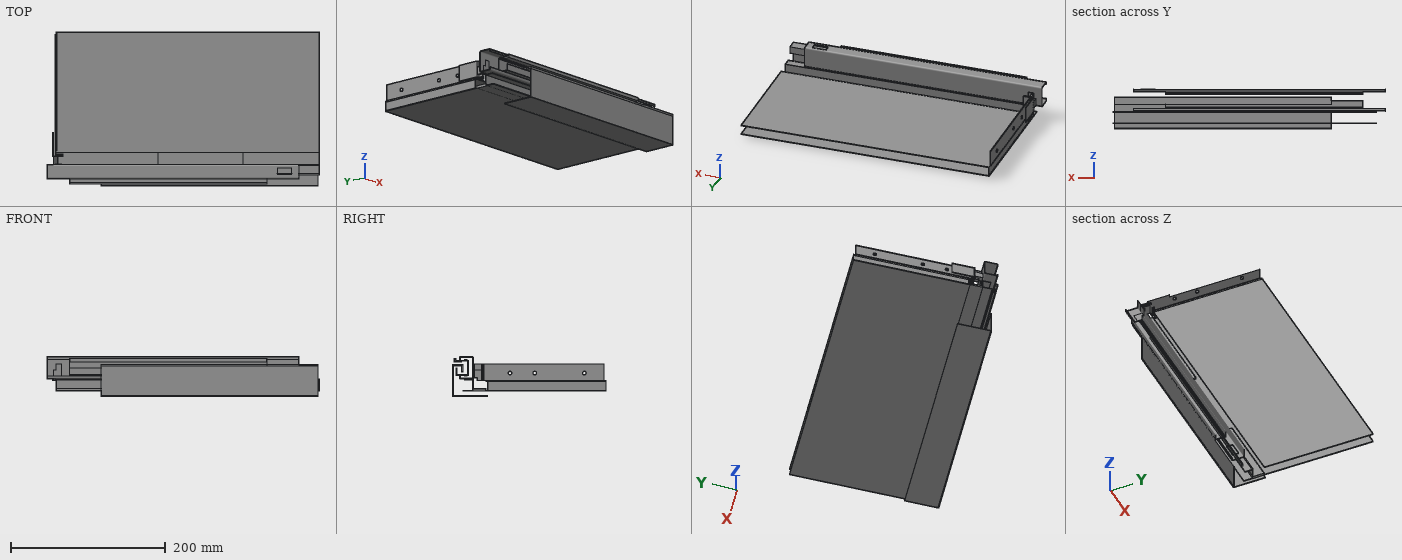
import cadquery as cq


SHEET = 1.15
HEAVY = 2.2

TOTAL_LENGTH = 351.5
TOTAL_DEPTH = 198.5
TOTAL_HEIGHT = 51.7

FASCIA_START = 69.7
FASCIA_END = 350.1
FASCIA_HEIGHT = 41.4
FASCIA_FOOT = 45.5
HOOK_REACH = 13.8
HOOK_TIP_Z = 32.0

OUTER_LENGTH = 325.2
OUTER_BACK = 27.4
OUTER_FRONT = 9.1
OUTER_BOTTOM = 22.8
BACK_BEND = 2.3
FRONT_BEND = 1.85
UPPER_LIP_Z = 48.0
LOWER_LIP_Z = 26.8
WINDOW_START = 297.2
WINDOW_LENGTH = 18.6
WINDOW_FRONT = 15.0
WINDOW_WIDTH = 8.4

MIDDLE_START = 28.9
MIDDLE_END = 283.6
MIDDLE_BACK = 20.6
MIDDLE_BOTTOM = 27.5
MIDDLE_TOP = 46.9
MIDDLE_TOP_FRONT = 2.2
MIDDLE_TOP_LIP_Z = 49.3
MIDDLE_LOW_FRONT = 4.6
MIDDLE_LOW_LIP_Z = 36.7
HEAVY_START = 11.9
RIDGE_BACK = 18.6
RIDGE_FRONT = 15.4

CHASSIS_START = 11.5
FLOOR_Z = 6.9
FLOOR_TOP = FLOOR_Z + SHEET
FLOOR_FRONT = 14.0
LEDGE_FRONT = 15.8
PAD_BACK = 43.3
PAD_TOP = 10.2
PAD_GAP_START = 143.2
PAD_GAP_END = 252.9

COVER_TOP = 20.7
COVER_FRONT = PAD_BACK
COVER_WALL_FRONT = 45.5

PANEL_X = CHASSIS_START - SHEET
PANEL_FRONT = 39.9
PANEL_BACK = 195.8
PANEL_TOP = 42.1
RETURN_END = 20.6
HOLE_DIAMETER = 4.4
HOLE_Z = 30.4
HOLE_YS = (74.4, 106.4, 170.4)

PLATE_X = 6.8
PLATE_FRONT = 37.8
PLATE_BACK = 68.7

CLIP_BLOCK_END = 13.8
CLIP_FOOT_END = 18.3
CLIP_BLOCK_X = 8.0
CLIP_BLOCK_BOTTOM = 24.1
CLIP_BLOCK_TOP = 34.3
CLIP_TOE_FRONT = 31.8


def box(x, y, z):
    """Box from three (low, high) ranges."""
    size = (x[1] - x[0], y[1] - y[0], z[1] - z[0])
    return cq.Workplane("XY").box(*size, centered=False).translate((x[0], y[0], z[0]))


def extrude_profile(points, start, end):
    """Extrude a closed (y, z) outline along X."""
    return cq.Workplane("YZ").workplane(offset=start).polyline(points).close().extrude(end - start)


def make_fascia():
    hook_inner_z = FASCIA_HEIGHT - HEAVY
    profile = [
        (0, 0),
        (FASCIA_FOOT, 0),
        (FASCIA_FOOT, SHEET),
        (SHEET, SHEET),
        (SHEET, hook_inner_z),
        (HOOK_REACH - HEAVY, hook_inner_z),
        (HOOK_REACH - HEAVY, HOOK_TIP_Z),
        (HOOK_REACH, HOOK_TIP_Z),
        (HOOK_REACH, FASCIA_HEIGHT),
        (0, FASCIA_HEIGHT),
    ]
    return extrude_profile(profile, FASCIA_START, FASCIA_END)


def make_outer_rail():
    length = (0, OUTER_LENGTH)
    outside = box(length, (OUTER_FRONT, OUTER_BACK), (OUTER_BOTTOM, TOTAL_HEIGHT))
    outside = outside.edges("|X and >Y").fillet(BACK_BEND)
    outside = outside.edges("|X and <Y").fillet(FRONT_BEND)
    inside = box(
        length,
        (OUTER_FRONT + SHEET, OUTER_BACK - SHEET),
        (OUTER_BOTTOM + SHEET, TOTAL_HEIGHT - SHEET),
    )
    inside = inside.edges("|X and >Y").fillet(BACK_BEND - SHEET)
    inside = inside.edges("|X and <Y").fillet(FRONT_BEND - SHEET)
    mouth = box(length, (OUTER_FRONT, OUTER_FRONT + SHEET), (LOWER_LIP_Z, UPPER_LIP_Z))
    window = box(
        (WINDOW_START, WINDOW_START + WINDOW_LENGTH),
        (WINDOW_FRONT, WINDOW_FRONT + WINDOW_WIDTH),
        (OUTER_BOTTOM, TOTAL_HEIGHT),
    )
    return outside.cut(inside).cut(mouth).cut(window)


def make_middle_rail():
    wall_inner = MIDDLE_BACK - SHEET
    top_inner = MIDDLE_TOP - SHEET
    bottom_inner = MIDDLE_BOTTOM + SHEET
    groove_back = RIDGE_BACK - SHEET
    groove_front = RIDGE_FRONT + SHEET
    profile = [
        (MIDDLE_TOP_FRONT, MIDDLE_TOP_LIP_Z),
        (MIDDLE_TOP_FRONT + HEAVY, MIDDLE_TOP_LIP_Z),
        (MIDDLE_TOP_FRONT + HEAVY, MIDDLE_TOP),
        (RIDGE_FRONT, MIDDLE_TOP),
        (RIDGE_FRONT, MIDDLE_TOP + SHEET),
        (RIDGE_BACK, MIDDLE_TOP + SHEET),
        (RIDGE_BACK, MIDDLE_TOP),
        (MIDDLE_BACK, MIDDLE_TOP),
        (MIDDLE_BACK, MIDDLE_BOTTOM),
        (RIDGE_BACK, MIDDLE_BOTTOM),
        (RIDGE_BACK, MIDDLE_BOTTOM - SHEET),
        (RIDGE_FRONT, MIDDLE_BOTTOM - SHEET),
        (RIDGE_FRONT, MIDDLE_BOTTOM),
        (MIDDLE_LOW_FRONT, MIDDLE_BOTTOM),
        (MIDDLE_LOW_FRONT, MIDDLE_LOW_LIP_Z),
        (MIDDLE_LOW_FRONT + SHEET, MIDDLE_LOW_LIP_Z),
        (MIDDLE_LOW_FRONT + SHEET, bottom_inner),
        (wall_inner, bottom_inner),
        (wall_inner, top_inner),
        (HEAVY_START, top_inner),
        (HEAVY_START, MIDDLE_TOP - HEAVY),
        (MIDDLE_TOP_FRONT, MIDDLE_TOP - HEAVY),
    ]
    rail = extrude_profile(profile, MIDDLE_START, MIDDLE_END)
    length = (MIDDLE_START, MIDDLE_END)
    for groove_bottom in (top_inner, MIDDLE_BOTTOM):
        groove = box(length, (groove_front, groove_back), (groove_bottom, groove_bottom + SHEET))
        rail = rail.cut(groove)
    return rail


def make_chassis():
    ledge_z = OUTER_BOTTOM - SHEET
    wall_front = OUTER_BACK - SHEET
    profile = [
        (FLOOR_FRONT, FLOOR_Z),
        (TOTAL_DEPTH, FLOOR_Z),
        (TOTAL_DEPTH, FLOOR_TOP),
        (PAD_BACK, FLOOR_TOP),
        (PAD_BACK, PAD_TOP),
        (OUTER_BACK, PAD_TOP),
        (OUTER_BACK, OUTER_BOTTOM),
        (LEDGE_FRONT, OUTER_BOTTOM),
        (LEDGE_FRONT, ledge_z),
        (wall_front, ledge_z),
        (wall_front, FLOOR_TOP),
        (FLOOR_FRONT, FLOOR_TOP),
    ]
    chassis = extrude_profile(profile, CHASSIS_START, TOTAL_LENGTH)
    pad_gap = box((PAD_GAP_START, PAD_GAP_END), (OUTER_BACK, PAD_BACK), (FLOOR_TOP, PAD_TOP))
    return chassis.cut(pad_gap)


def make_cover():
    top = box(
        (CHASSIS_START, TOTAL_LENGTH),
        (COVER_FRONT, TOTAL_DEPTH),
        (COVER_TOP - SHEET, COVER_TOP),
    )
    wall = box(
        (CHASSIS_START, CHASSIS_START + SHEET),
        (COVER_WALL_FRONT, TOTAL_DEPTH),
        (FLOOR_TOP, COVER_TOP),
    )
    return top.union(wall)


def make_front_panel():
    height = (COVER_TOP, PANEL_TOP)
    sheet = box((PANEL_X, CHASSIS_START), (PANEL_FRONT, PANEL_BACK), height)
    return_flange = box((PANEL_X, RETURN_END), (PANEL_FRONT, PANEL_FRONT + SHEET), height)
    holes = (
        cq.Workplane("YZ")
        .workplane(offset=PANEL_X)
        .pushPoints([(y, HOLE_Z) for y in HOLE_YS])
        .circle(HOLE_DIAMETER / 2)
        .extrude(SHEET)
    )
    return sheet.union(return_flange).cut(holes)


def make_end_plate():
    height = (COVER_TOP, PANEL_TOP)
    sheet = box((PLATE_X, PLATE_X + SHEET), (PLATE_FRONT, PLATE_BACK), height)
    return_flange = box((PLATE_X, RETURN_END), (PLATE_FRONT, PLATE_FRONT + SHEET), height)
    return sheet.union(return_flange)


def make_rail_clip():
    foot_back = OUTER_BACK + SHEET
    clip_height = (CLIP_BLOCK_BOTTOM, PANEL_TOP)
    web = box((CHASSIS_START, CHASSIS_START + SHEET), (OUTER_BACK, PLATE_FRONT), clip_height)
    foot = box((CHASSIS_START, CLIP_FOOT_END), (OUTER_BACK, foot_back), clip_height)
    tab = box((PANEL_X, CHASSIS_START), (foot_back, PLATE_FRONT), (CLIP_BLOCK_TOP, PANEL_TOP))
    block = box(
        (CLIP_BLOCK_X, CLIP_BLOCK_END),
        (OUTER_BACK, PLATE_FRONT),
        (CLIP_BLOCK_BOTTOM, CLIP_BLOCK_TOP),
    )
    toe = box(
        (PANEL_X, CLIP_BLOCK_END),
        (CLIP_TOE_FRONT, PLATE_FRONT),
        (COVER_TOP, CLIP_BLOCK_BOTTOM),
    )
    return web.union(foot).union(tab).union(block).union(toe)


fascia = make_fascia()
outer_rail = make_outer_rail()
middle_rail = make_middle_rail()
chassis = make_chassis()
cover = make_cover()
front_panel = make_front_panel()
end_plate = make_end_plate()
rail_clip = make_rail_clip()

result = cq.Compound.makeCompound([
    fascia.val(),
    outer_rail.val(),
    middle_rail.val(),
    chassis.val(),
    cover.val(),
    front_panel.val(),
    end_plate.val(),
    rail_clip.val(),
])